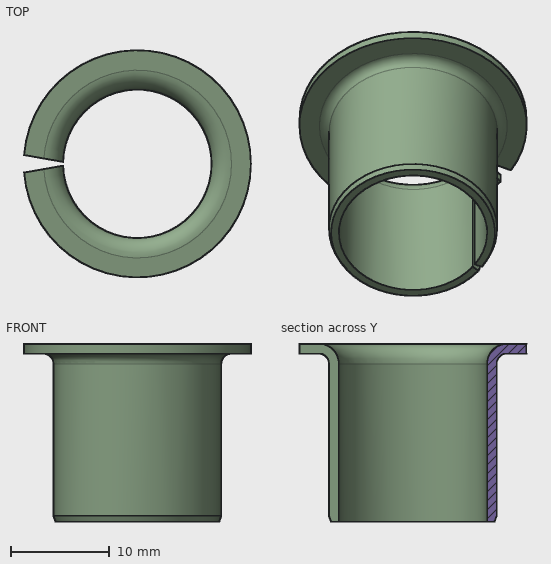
import cadquery as cq
import math

height = 18.0
flange_radius = 11.5
bore_radius = 7.5
wall = 1.0
mouth_radius = 2.0
neck_radius = mouth_radius - wall
chamfer_height = 0.62
chamfer_angle = 20.0

slit_half_angle = 10.0
slit_apex_x = -6.48
slit_end_x = -1.1 * flange_radius


def make_bushing():
    """Revolve the wall section, drawn as (radius, height), about Z."""
    outer_radius = bore_radius + wall
    chamfer_width = chamfer_height * math.tan(math.radians(chamfer_angle))
    bend_radius = bore_radius + mouth_radius
    bend_height = height - mouth_radius
    diagonal = math.sqrt(0.5)
    neck_mid = (bend_radius - neck_radius * diagonal, bend_height + neck_radius * diagonal)
    mouth_mid = (bend_radius - mouth_radius * diagonal, bend_height + mouth_radius * diagonal)
    section = (
        cq.Workplane("XZ")
        .moveTo(bore_radius, 0)
        .lineTo(outer_radius - chamfer_width, 0)
        .lineTo(outer_radius, chamfer_height)
        .lineTo(outer_radius, bend_height)
        .threePointArc(neck_mid, (bend_radius, height - wall))
        .lineTo(flange_radius, height - wall)
        .lineTo(flange_radius, height)
        .lineTo(bend_radius, height)
        .threePointArc(mouth_mid, (bore_radius, bend_height))
        .close()
    )
    return section.revolve(360, (0, 0, 0), (0, 1, 0))


def make_slit():
    """Full-height wedge that widens outwards from its apex inside the bore."""
    half_width = (slit_apex_x - slit_end_x) * math.tan(math.radians(slit_half_angle))
    return (
        cq.Workplane("XY")
        .polyline([(slit_apex_x, 0), (slit_end_x, half_width), (slit_end_x, -half_width)])
        .close()
        .extrude(height)
    )


bushing = make_bushing().rotate((0, 0, 0), (0, 0, 1), 180)
result = bushing.cut(make_slit())